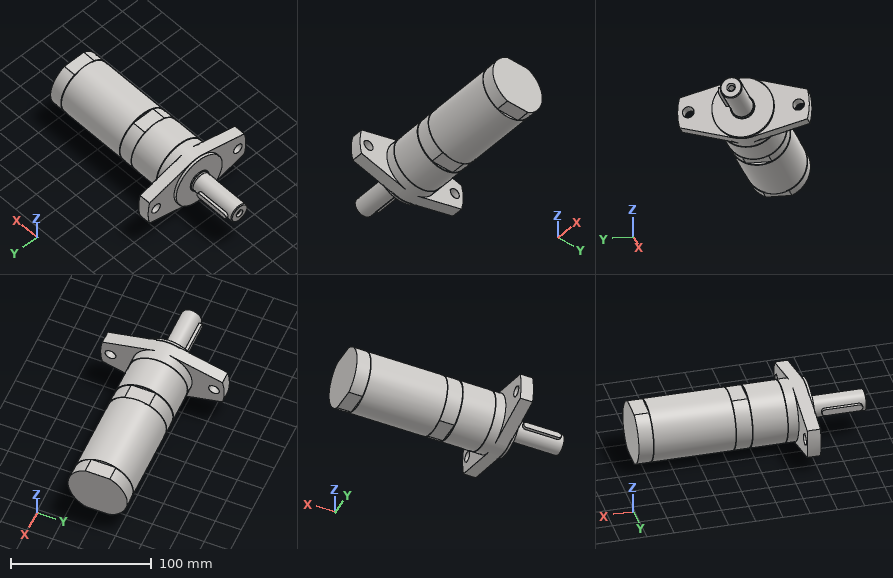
import cadquery as cq
import math

SHAFT_CONE_X = 39.8
SHAFT_COLLAR_X = 40.8
PILOT_X = 41.8
FLANGE_X = 44.0
FLANGE_THICKNESS = 10.0
GEARBOX_X = 61.7
WAIST_X = 88.0
MOTOR_X = 99.8
CAP_X = 160.4
TOTAL_LENGTH = 171.5

BODY_DIAMETER = 46.0
BODY_RADIUS = BODY_DIAMETER / 2
PILOT_DIAMETER = 45.0
JOINT_CHAMFER = 0.3
FLAT_SPACING = 41.8

SHAFT_DIAMETER = 16.0
SHAFT_CHAMFER = 0.7
CONE_END_DIAMETER = 17.0
COLLAR_DIAMETER = 17.5

CENTRE_HOLE_DIAMETER = 4.1
CENTRE_HOLE_DEPTH = 12.0
COUNTERSINK_DIAMETER = 6.2
COUNTERSINK_ANGLE = 60.0
DRILL_POINT_ANGLE = 118.0

KEY_X = 3.6
KEY_LENGTH = 30.0
KEY_WIDTH = 5.0
KEY_HEIGHT = 5.0
KEY_TOP_Y = 10.0

FLANGE_SPAN = 95.7
FLANGE_HOLE_DIAMETER = 8.2
FLANGE_HOLE_SPACING = 80.0
FLANGE_EDGE_ANGLE = 15.0


def section(x_start, x_end, diameter):
    """Cylinder on the X axis between two positions."""
    return cq.Workplane("YZ", origin=(x_start, 0, 0)).circle(diameter / 2).extrude(x_end - x_start)


def across_flats(x_start, x_end):
    """Full-diameter cylinder cut by two wrench flats facing +Z and -Z."""
    length = x_end - x_start
    slab = cq.Workplane("XY").box(length, BODY_DIAMETER, FLAT_SPACING)
    return section(x_start, x_end, BODY_DIAMETER).intersect(
        slab.translate((x_start + length / 2, 0, 0))
    )


def chamfered_joint(body, face):
    """Break the edge around one end of a full-diameter body section."""
    return body.faces(face).chamfer(JOINT_CHAMFER)


def make_shaft():
    """Chamfered shaft that widens through a short cone into a collar."""
    radius = SHAFT_DIAMETER / 2
    profile = (
        cq.Workplane("XY")
        .moveTo(0, 0)
        .lineTo(0, radius - SHAFT_CHAMFER)
        .lineTo(SHAFT_CHAMFER, radius)
        .lineTo(SHAFT_CONE_X, radius)
        .lineTo(SHAFT_COLLAR_X, CONE_END_DIAMETER / 2)
        .lineTo(SHAFT_COLLAR_X, COLLAR_DIAMETER / 2)
        .lineTo(PILOT_X, COLLAR_DIAMETER / 2)
        .lineTo(PILOT_X, 0)
        .close()
    )
    return profile.revolve(360, (0, 0, 0), (1, 0, 0))


def make_centre_hole():
    """Countersunk blind hole with a conical drill point."""
    rim = COUNTERSINK_DIAMETER / 2
    bore = CENTRE_HOLE_DIAMETER / 2
    sink_depth = (rim - bore) / math.tan(math.radians(COUNTERSINK_ANGLE / 2))
    point_depth = bore / math.tan(math.radians(DRILL_POINT_ANGLE / 2))
    profile = (
        cq.Workplane("XY")
        .moveTo(0, 0)
        .lineTo(0, rim)
        .lineTo(sink_depth, bore)
        .lineTo(CENTRE_HOLE_DEPTH, bore)
        .lineTo(CENTRE_HOLE_DEPTH + point_depth, 0)
        .close()
    )
    return profile.revolve(360, (0, 0, 0), (1, 0, 0))


def make_key():
    """Parallel key whose two ends are full half-rounds."""
    middle_x = KEY_X + KEY_LENGTH / 2
    return (
        cq.Workplane("XZ", origin=(middle_x, KEY_TOP_Y, 0))
        .slot2D(KEY_LENGTH, KEY_WIDTH)
        .extrude(KEY_HEIGHT)
    )


def make_flange():
    """Plate with sides tangent to the body and ends on a circle about the axis."""
    end_radius = FLANGE_SPAN / 2
    angle = math.radians(FLANGE_EDGE_ANGLE)
    tangent_y = BODY_RADIUS * math.sin(angle)
    tangent_z = BODY_RADIUS * math.cos(angle)
    side_length = math.sqrt(end_radius**2 - BODY_RADIUS**2)
    corner_y = tangent_y + side_length * math.cos(angle)
    corner_z = tangent_z - side_length * math.sin(angle)
    outline = (
        cq.Workplane("YZ", origin=(FLANGE_X, 0, 0))
        .moveTo(-tangent_y, tangent_z)
        .threePointArc((0, BODY_RADIUS), (tangent_y, tangent_z))
        .lineTo(corner_y, corner_z)
        .threePointArc((end_radius, 0), (corner_y, -corner_z))
        .lineTo(tangent_y, -tangent_z)
        .threePointArc((0, -BODY_RADIUS), (-tangent_y, -tangent_z))
        .lineTo(-corner_y, -corner_z)
        .threePointArc((-end_radius, 0), (-corner_y, corner_z))
        .close()
    )
    holes = (
        cq.Workplane("YZ", origin=(FLANGE_X, 0, 0))
        .pushPoints([(-FLANGE_HOLE_SPACING / 2, 0), (FLANGE_HOLE_SPACING / 2, 0)])
        .circle(FLANGE_HOLE_DIAMETER / 2)
        .extrude(FLANGE_THICKNESS)
    )
    return outline.extrude(FLANGE_THICKNESS).cut(holes)


def make_body():
    """Pilot, hub, gearbox, flatted waist, motor and flatted end cap in a row."""
    pilot = section(PILOT_X, FLANGE_X, PILOT_DIAMETER)
    hub = section(FLANGE_X, GEARBOX_X, BODY_DIAMETER)
    gearbox = section(GEARBOX_X, WAIST_X, BODY_DIAMETER)
    gearbox = chamfered_joint(chamfered_joint(gearbox, "<X"), ">X")
    waist = across_flats(WAIST_X, MOTOR_X)
    motor = chamfered_joint(section(MOTOR_X, CAP_X, BODY_DIAMETER), "<X")
    cap_round = chamfered_joint(section(CAP_X, TOTAL_LENGTH, BODY_DIAMETER), "<X")
    cap = cap_round.intersect(across_flats(CAP_X, TOTAL_LENGTH))
    body = pilot
    for part in (hub, gearbox, waist, motor, cap):
        body = body.union(part)
    return body


shaft = make_shaft().cut(make_centre_hole()).union(make_key())
result = make_body().union(make_flange()).union(shaft)